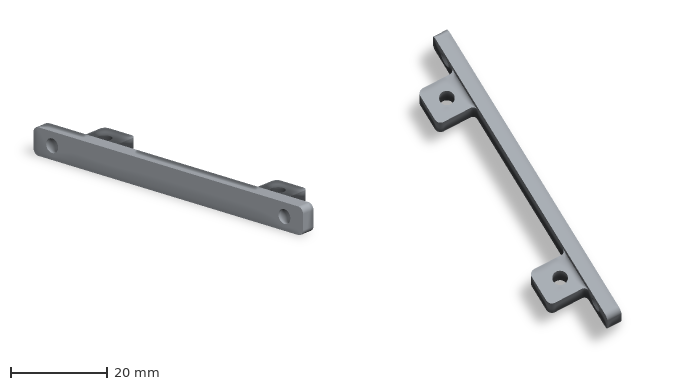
import cadquery as cq

bar_length = 73.65
bar_thickness = 3.3
bar_height = 6.3
bar_corner_radius = 1.3
bar_hole_spacing = 63.5
hole_diameter = 3.25

total_depth = 12.1
tab_width = 8.8
tab_height = 4.85
tab_corner_radius = 1.3
tab_root_radius = 1.0
tab_spacing = 47.0
left_tab_hole_y = 7.1
right_tab_hole_y = 7.5


def make_bar():
    """Plate with rounded ends and a through hole near each end."""
    bar = (
        cq.Workplane("XY")
        .box(bar_length, bar_thickness, bar_height, centered=(True, False, False))
        .edges("|Y")
        .fillet(bar_corner_radius)
    )
    holes = (
        cq.Workplane("XZ")
        .pushPoints([(side * bar_hole_spacing / 2, bar_height / 2) for side in (-1, 1)])
        .circle(hole_diameter / 2)
        .extrude(-bar_thickness)
    )
    return bar.cut(holes)


def make_tab(center_x, hole_y):
    """Lug with rounded outer corners, concave root fillets and a vertical hole."""
    half_width = tab_width / 2
    root_half_width = half_width + tab_root_radius
    root_end_y = bar_thickness + tab_root_radius
    corner_start_y = total_depth - tab_corner_radius
    corner_end_x = half_width - tab_corner_radius
    outline = (
        cq.Workplane("XY")
        .moveTo(-root_half_width, bar_thickness)
        .radiusArc((-half_width, root_end_y), -tab_root_radius)
        .lineTo(-half_width, corner_start_y)
        .radiusArc((-corner_end_x, total_depth), tab_corner_radius)
        .lineTo(corner_end_x, total_depth)
        .radiusArc((half_width, corner_start_y), tab_corner_radius)
        .lineTo(half_width, root_end_y)
        .radiusArc((root_half_width, bar_thickness), -tab_root_radius)
        .close()
    )
    tab = outline.extrude(tab_height)
    hole = cq.Workplane("XY").center(0, hole_y).circle(hole_diameter / 2).extrude(tab_height)
    return tab.cut(hole).translate((center_x, 0, 0))


left_tab = make_tab(-tab_spacing / 2, left_tab_hole_y)
right_tab = make_tab(tab_spacing / 2, right_tab_hole_y)
result = make_bar().union(left_tab).union(right_tab)